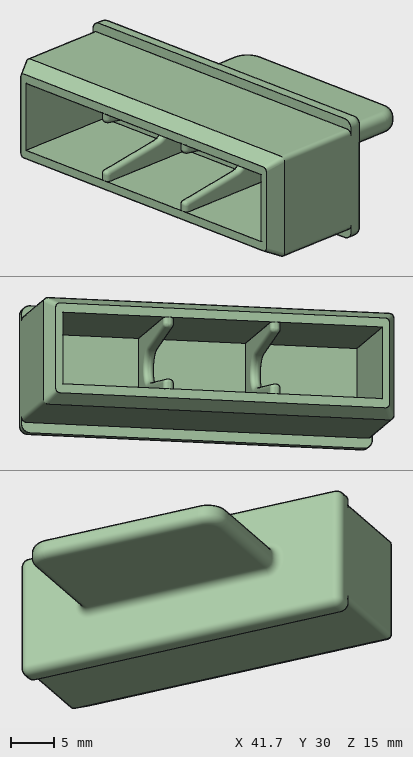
import cadquery as cq
import math


shell_width = 41.7
shell_height = 12.6
shell_length = 13.0
shell_edge_radius = 0.6
nose_length = 2.0
nose_inset = 1.0

cavity_width = 38.0
cavity_height = 8.45
cavity_depth = shell_length

flange_height = 15.0
flange_thickness = 2.0
flange_radius = 1.0
flange_back = shell_length + flange_thickness

tab_width = 25.0
tab_length = 15.0
tab_thickness = 2.5
tab_corner_radius = 2.5
tab_edge_radius = 1.0
tab_root_radius = 1.0

rib_spacing = 12.7
rib_thickness = 1.2
rib_edge_radius = 0.5
rib_tip_radius = 0.45
rib_tip_height = 1.15
rib_taper = math.radians(8.0)
rib_notch_radius = 1.9


def box_along_y(size_x, size_z, y_start, y_end):
    """Box centred on X and Z, between two Y positions."""
    length = y_end - y_start
    return cq.Workplane("XY").box(size_x, length, size_z).translate((0, y_start + length / 2, 0))


def make_shell():
    """Solid block with a tapered nose, rounded along its long and slanted corners."""
    block = box_along_y(shell_width, shell_height, nose_length, shell_length)
    nose = (
        cq.Workplane("XZ", origin=(0, nose_length, 0))
        .rect(shell_width, shell_height)
        .workplane(offset=nose_length)
        .rect(shell_width - 2 * nose_inset, shell_height - 2 * nose_inset)
        .loft(ruled=True)
    )
    return block.union(nose).edges("not(|X or |Z)").fillet(shell_edge_radius)


def make_flange():
    """Plate behind the shell, rounded at its corners and around its back face."""
    flange = box_along_y(shell_width, flange_height, shell_length, flange_back)
    flange = flange.edges("|Y").fillet(flange_radius)
    return flange.faces(">Y").edges().fillet(flange_radius)


def make_tab():
    """Flat grip, rooted inside the flange, with rounded corners and edges."""
    root = flange_back - flange_thickness / 2
    tab = box_along_y(tab_width, tab_thickness, root, flange_back + tab_length)
    tab = tab.edges("|Z and >Y").fillet(tab_corner_radius)
    return tab.faces("<Z or >Z").edges("not(<Y)").fillet(tab_edge_radius)


def round_tab_root(body):
    """Fillet the loop of edges where the tab meets the back of the flange."""
    root_zone = cq.selectors.BoxSelector(
        (-tab_width, flange_back - tab_root_radius / 2, -tab_thickness),
        (tab_width, flange_back + tab_root_radius / 2, tab_thickness),
    )
    return body.edges(root_zone).fillet(tab_root_radius)


def make_rib(x_center):
    """Rib with two tapered legs joined by a round notch tangent to both."""
    half_height = cavity_height / 2
    tip_z = half_height - rib_tip_height
    notch_z = rib_notch_radius * math.cos(rib_taper)
    leg_end = (tip_z - notch_z) / math.tan(rib_taper)
    notch_bottom = leg_end + rib_notch_radius * (1 - math.sin(rib_taper))
    rib = (
        cq.Workplane("YZ", origin=(x_center - rib_thickness / 2, 0, 0))
        .moveTo(cavity_depth, half_height)
        .lineTo(0, half_height)
        .lineTo(0, tip_z)
        .lineTo(leg_end, notch_z)
        .threePointArc((notch_bottom, 0), (leg_end, -notch_z))
        .lineTo(0, -tip_z)
        .lineTo(0, -half_height)
        .lineTo(cavity_depth, -half_height)
        .close()
        .extrude(rib_thickness)
    )
    rib = rib.faces("<Y").edges("|X").edges("not(<Z or >Z)").fillet(rib_tip_radius)
    return rib.faces("<X or >X").edges("not(>Y or >Z or <Z)").fillet(rib_edge_radius)


body = make_shell().union(make_flange()).union(make_tab())
body = round_tab_root(body)
body = body.cut(box_along_y(cavity_width, cavity_height, 0, cavity_depth))
for rib_x in (-rib_spacing / 2, rib_spacing / 2):
    body = body.union(make_rib(rib_x))
result = body